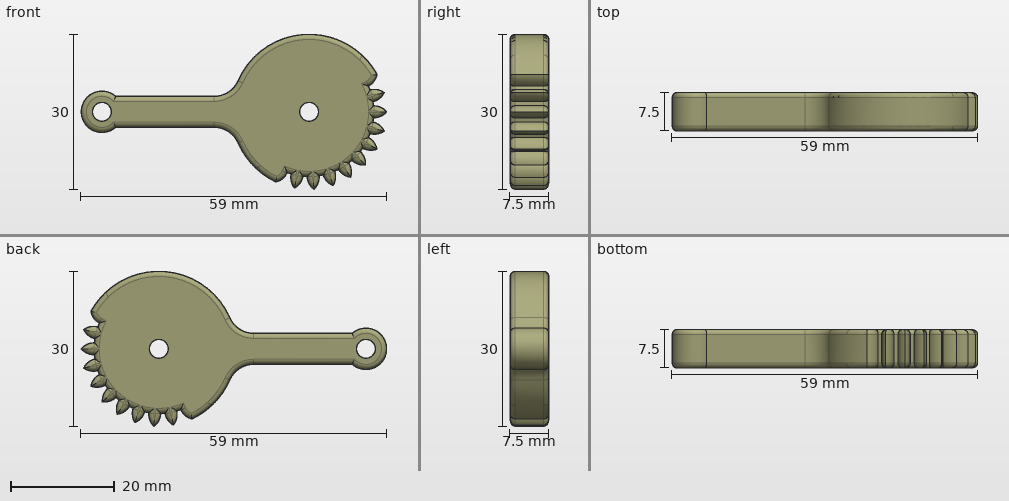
import cadquery as cq
import math

thickness = 7.5
edge_round = 1.0
hole_diameter = 3.6

head_radius = 15.0
eye_radius = 4.0
eye_distance = 40.0
arm_width = 6.0
neck_radius = 5.0

full_circle_teeth = 25
first_tooth = -7
last_tooth = 1
root_radius = 12.5
tooth_half_width = 1.2
tooth_pitch = 360 / full_circle_teeth

tooth_height = head_radius - root_radius
flank_radius = (tooth_height**2 + tooth_half_width**2) / (2 * tooth_half_width)
flank_inner_end = 8.25
gap_margin = 8


def extrude_in_y(sketch):
    """Extrude an XZ sketch to the full thickness, centred on Y = 0."""
    return sketch.extrude(thickness / 2, both=True)


def round_faces(body):
    """Round the outlines of both flat faces."""
    return body.faces("<Y or >Y").edges().fillet(edge_round)


def disc(radius, x=0):
    return extrude_in_y(cq.Workplane("XZ").center(x, 0).circle(radius))


def turn(body, degrees):
    """Turn a body about the head axis, counter-clockwise when looking toward +Y."""
    return body.rotate((0, 0, 0), (0, 1, 0), -degrees)


def polar(radius, degrees):
    angle = math.radians(degrees)
    return radius * math.cos(angle), radius * math.sin(angle)


def lever():
    """Eye, arm and full round head with blended neck, edges rounded."""
    neck_centre_z = arm_width / 2 + neck_radius
    neck_centre_reach = head_radius + neck_radius
    neck_start_x = -math.sqrt(neck_centre_reach**2 - neck_centre_z**2)
    on_head = head_radius / neck_centre_reach
    neck_end = (neck_start_x * on_head, neck_centre_z * on_head)
    toward_head = math.atan2(-neck_centre_z, -neck_start_x)
    bisector = (toward_head - math.pi / 2) / 2
    neck_middle = (
        neck_start_x + neck_radius * math.cos(bisector),
        neck_centre_z + neck_radius * math.sin(bisector),
    )
    arm = extrude_in_y(
        cq.Workplane("XZ")
        .moveTo(-eye_distance, arm_width / 2)
        .lineTo(neck_start_x, arm_width / 2)
        .threePointArc(neck_middle, neck_end)
        .lineTo(neck_end[0], -neck_end[1])
        .threePointArc((neck_middle[0], -neck_middle[1]), (neck_start_x, -arm_width / 2))
        .lineTo(-eye_distance, -arm_width / 2)
        .close()
    )
    body = disc(head_radius).union(arm).union(disc(eye_radius, -eye_distance))
    return round_faces(body.clean())


def gap_sector(start, end):
    """Sector of the head removed to make room for the teeth."""
    reach = 2 * head_radius
    return extrude_in_y(
        cq.Workplane("XZ")
        .lineTo(*polar(reach, start))
        .threePointArc(polar(reach, (start + end) / 2), polar(reach, end))
        .close()
    )


def flank(side):
    """Rounded body bounded by one flank of the tooth on +X; side is +1 (upper) or -1 (lower)."""
    near_z = side * tooth_half_width
    far_z = near_z - side * 2 * flank_radius
    body = extrude_in_y(
        cq.Workplane("XZ")
        .moveTo(flank_inner_end, near_z)
        .lineTo(root_radius, near_z)
        .threePointArc((root_radius + flank_radius, (near_z + far_z) / 2), (root_radius, far_z))
        .lineTo(flank_inner_end, far_z)
        .close()
    )
    return round_faces(body)


upper_flank = flank(1)
lower_flank = flank(-1)

flat_core = disc(root_radius - edge_round)
tooth = upper_flank.intersect(lower_flank).cut(flat_core)
result = round_faces(disc(root_radius))
for number in range(first_tooth, last_tooth + 1):
    result = result.union(turn(tooth, number * tooth_pitch))

lower_end = (first_tooth - 1) * tooth_pitch
upper_end = (last_tooth + 1) * tooth_pitch
rounded_head = round_faces(disc(head_radius))
result = result.union(turn(upper_flank, lower_end).intersect(rounded_head))
result = result.union(turn(lower_flank, upper_end).intersect(rounded_head))

gap = gap_sector(lower_end - gap_margin, upper_end + gap_margin)
result = result.union(lever().cut(gap))
for hole_x in (0, -eye_distance):
    result = result.cut(disc(hole_diameter / 2, hole_x))

result = result.solids()